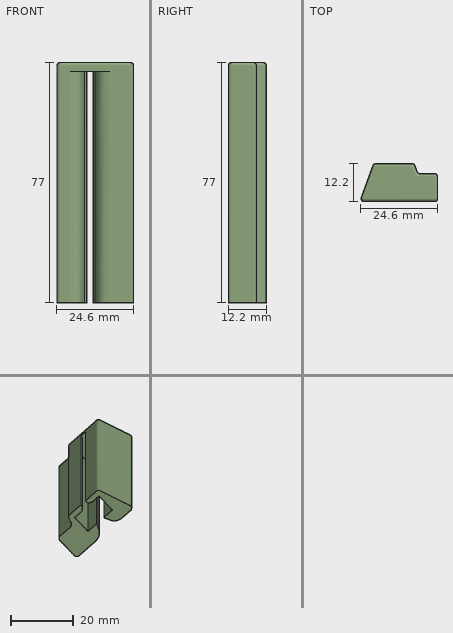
import math

import cadquery as cq

WIDTH = 24.57
DEPTH = 12.2
HEIGHT = 77.0

SIDE_LEAN = math.radians(20)
RIDGE_WIDTH = 13.05
FLANGE_DEPTH = 9.0
EDGE_RADIUS = 1.0
NOTCH_RADIUS = 1.0

TIP_LOSS = EDGE_RADIUS * (math.tan(math.pi / 4 + SIDE_LEAN / 2) - 1)
FRONT_LEFT_X = -TIP_LOSS
RIDGE_LEFT_X = FRONT_LEFT_X + DEPTH * math.tan(SIDE_LEAN)
RIDGE_RIGHT_X = RIDGE_LEFT_X + RIDGE_WIDTH
NOTCH_X = RIDGE_RIGHT_X + (DEPTH - FLANGE_DEPTH) * math.tan(SIDE_LEAN)

SLOT_X = RIDGE_LEFT_X + RIDGE_WIDTH / 2
SLOT_TOP = 74.1

MOUTH_HALF_WIDTH = 6.25
LIP_END_HALF_WIDTH = 2.57
LIP_DEPTH = 1.85
FLANK_ANGLE = math.radians(64)
NECK_HALF_WIDTH = 1.66
NECK_LENGTH = 0.4

CAVITY_HALF_WIDTH = 5.3
CAVITY_BACK = 10.4

LEAD_IN_WIDTH = 1.0
LEAD_IN_ANGLE = math.radians(37)
BACK_INNER_HALF_WIDTH = 1.12
BACK_OUTER_HALF_WIDTH = 1.0


def round_upright_edge(solid, corner, radius):
    """Fillet the vertical edge that stands on the given outline corner."""
    x, y = corner
    edge = cq.selectors.NearestToPointSelector((x, y, HEIGHT / 2))
    return solid.edges(edge).fillet(radius)


def build_body():
    """Flanged trapezoidal bar, rounded everywhere except around the lower end."""
    notch_corner = (NOTCH_X, FLANGE_DEPTH)
    outer_corners = [
        (FRONT_LEFT_X, 0),
        (WIDTH, 0),
        (WIDTH, FLANGE_DEPTH),
        (RIDGE_RIGHT_X, DEPTH),
        (RIDGE_LEFT_X, DEPTH),
    ]
    outline = outer_corners[:3] + [notch_corner] + outer_corners[3:]
    body = cq.Workplane("XY").polyline(outline).close().extrude(HEIGHT)
    body = round_upright_edge(body, notch_corner, NOTCH_RADIUS)
    for corner in outer_corners:
        body = round_upright_edge(body, corner, EDGE_RADIUS)
    return body.faces(">Z").edges().fillet(EDGE_RADIUS)


def build_slot():
    """Solid filling the slot: one half drawn from its middle plane, then mirrored."""
    flank_direction = (-math.cos(FLANK_ANGLE), math.sin(FLANK_ANGLE))
    flank_width = LIP_END_HALF_WIDTH - NECK_HALF_WIDTH
    neck_front = LIP_DEPTH + flank_width * math.tan(FLANK_ANGLE)
    cavity_front = neck_front + NECK_LENGTH
    lead_in_end = CAVITY_BACK + LEAD_IN_WIDTH * math.tan(LEAD_IN_ANGLE)
    half = (
        cq.Workplane("XY")
        .lineTo(MOUTH_HALF_WIDTH, 0)
        .spline(
            [(LIP_END_HALF_WIDTH, LIP_DEPTH)],
            tangents=[(-1, 0), flank_direction],
            includeCurrent=True,
        )
        .lineTo(NECK_HALF_WIDTH, neck_front)
        .lineTo(NECK_HALF_WIDTH, cavity_front)
        .lineTo(CAVITY_HALF_WIDTH, cavity_front)
        .lineTo(CAVITY_HALF_WIDTH, CAVITY_BACK)
        .lineTo(BACK_INNER_HALF_WIDTH + LEAD_IN_WIDTH, CAVITY_BACK)
        .lineTo(BACK_INNER_HALF_WIDTH, lead_in_end)
        .lineTo(BACK_OUTER_HALF_WIDTH, DEPTH)
        .lineTo(0, DEPTH)
        .close()
        .extrude(SLOT_TOP)
    )
    return half.union(half.mirror("YZ")).translate((SLOT_X, 0, 0))


result = build_body().cut(build_slot())